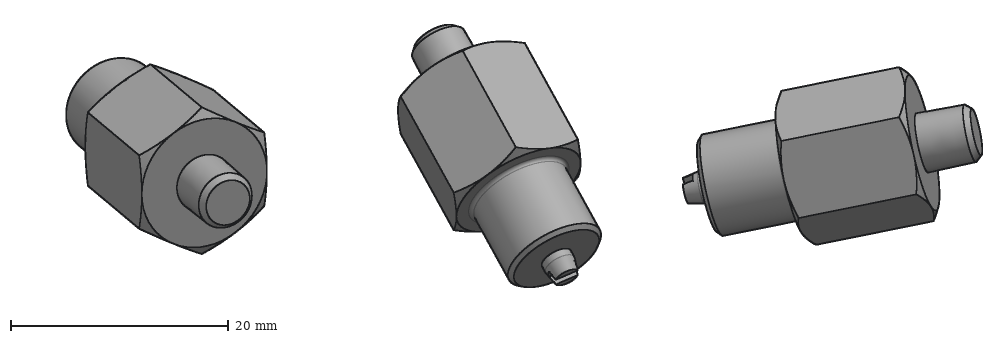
import cadquery as cq
import math

total_length = 27.62
stem_taper_end = 1.5
body_start = 2.18
hex_start = 10.16
hex_end = 22.48

stem_radius = 1.52
stem_tip_radius = 1.22
slot_width = 0.9
slot_depth = 1.02

body_radius = 4.78
body_chamfer = 0.41
body_root_fillet = 0.35

across_flats = 12.7
across_corners = across_flats / math.cos(math.radians(30))
hex_chamfer_angle = 30.0

spigot_root_radius = 2.8
spigot_end_radius = 2.7
spigot_chamfer_length = 0.58
spigot_chamfer_height = 0.5


def revolve_about_x(profile):
    """Turn a closed profile, drawn as (x, radius), about the X axis."""
    return profile.close().revolve(360, (0, 0, 0), (1, 0, 0))


def make_stem():
    stem = revolve_about_x(
        cq.Workplane("XY").polyline([
            (0, 0),
            (0, stem_tip_radius),
            (stem_taper_end, stem_radius),
            (body_start, stem_radius),
            (body_start, 0),
        ])
    )
    slot = cq.Workplane("XY").box(
        slot_depth, 2 * stem_radius, slot_width, centered=(False, True, True)
    )
    return stem.cut(slot)


def make_body():
    fillet_start = hex_start - body_root_fillet
    fillet_outer_radius = body_radius + body_root_fillet
    arc_reach = body_root_fillet * math.sqrt(0.5)
    return revolve_about_x(
        cq.Workplane("XY")
        .moveTo(body_start, 0)
        .lineTo(body_start, body_radius - body_chamfer)
        .lineTo(body_start + body_chamfer, body_radius)
        .lineTo(fillet_start, body_radius)
        .threePointArc(
            (fillet_start + arc_reach, fillet_outer_radius - arc_reach),
            (hex_start, fillet_outer_radius),
        )
        .lineTo(hex_start, 0)
    )


def make_hexagon():
    prism = (
        cq.Workplane("YZ", origin=(hex_start, 0, 0))
        .polygon(6, across_corners)
        .extrude(hex_end - hex_start)
        .rotate((0, 0, 0), (1, 0, 0), 90)
    )
    face_radius = across_flats / 2
    corner_radius = across_corners / 2
    bevel = (corner_radius - face_radius) * math.tan(math.radians(hex_chamfer_angle))
    envelope = revolve_about_x(
        cq.Workplane("XY").polyline([
            (hex_start, 0),
            (hex_start, face_radius),
            (hex_start + bevel, corner_radius),
            (hex_end - bevel, corner_radius),
            (hex_end, face_radius),
            (hex_end, 0),
        ])
    )
    return prism.intersect(envelope)


def make_spigot():
    return revolve_about_x(
        cq.Workplane("XY").polyline([
            (hex_end, 0),
            (hex_end, spigot_root_radius),
            (total_length - spigot_chamfer_length, spigot_end_radius),
            (total_length, spigot_end_radius - spigot_chamfer_height),
            (total_length, 0),
        ])
    )


result = make_hexagon().union(make_body()).union(make_stem()).union(make_spigot())